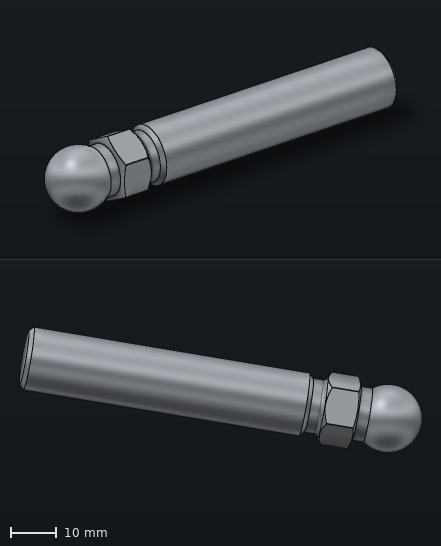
import cadquery as cq
import math

ball_diameter = 15.0
rod_diameter = 14.0
neck_diameter = 12.0
hex_across_flats = 14.0
hex_corner_diameter = 16.1

overall_length = 88.0
rod_end_chamfer = 1.0

hex_front_y = 7.0
hex_front_corner_y = 7.7
hex_back_corner_y = 13.6
hex_back_y = 14.55
hex_back_fillet = 0.9
rod_start_y = 17.55

ball_radius = ball_diameter / 2
rod_radius = rod_diameter / 2
neck_radius = neck_diameter / 2
hex_corner_radius = hex_corner_diameter / 2
hex_root_y = hex_back_y + hex_back_fillet
rod_shoulder = rod_radius - neck_radius
rod_end_y = overall_length - ball_radius
ball_neck_y = math.sqrt(ball_radius**2 - neck_radius**2)


def turned_body():
    """Ball, necks, hexagon blank and rod as one turned profile."""
    profile = (
        cq.Workplane("XY")
        .moveTo(0, -ball_radius)
        .threePointArc((ball_radius, 0), (neck_radius, ball_neck_y))
        .lineTo(neck_radius, hex_front_y)
        .lineTo(hex_corner_radius, hex_front_corner_y)
        .lineTo(hex_corner_radius, hex_back_corner_y)
        .lineTo(neck_radius + hex_back_fillet, hex_back_y)
        .radiusArc((neck_radius, hex_root_y), hex_back_fillet)
        .lineTo(neck_radius, rod_start_y)
        .lineTo(rod_radius, rod_start_y + rod_shoulder)
        .lineTo(rod_radius, rod_end_y - rod_end_chamfer)
        .lineTo(rod_radius - rod_end_chamfer, rod_end_y)
        .lineTo(0, rod_end_y)
        .close()
    )
    return profile.revolve(360, (0, 0, 0), (0, 1, 0))


def hex_waste():
    """Oversize ring around the hexagon; two flats face +X and -X, corners point along Z."""
    section = cq.Workplane("XZ", origin=(0, hex_root_y, 0))
    length = hex_root_y - hex_front_y
    ring = section.circle(hex_across_flats).extrude(length)
    across_corners = hex_across_flats / math.cos(math.pi / 6)
    hexagon = section.transformed(rotate=(0, 0, 90)).polygon(6, across_corners).extrude(length)
    return ring.cut(hexagon)


result = turned_body().cut(hex_waste())